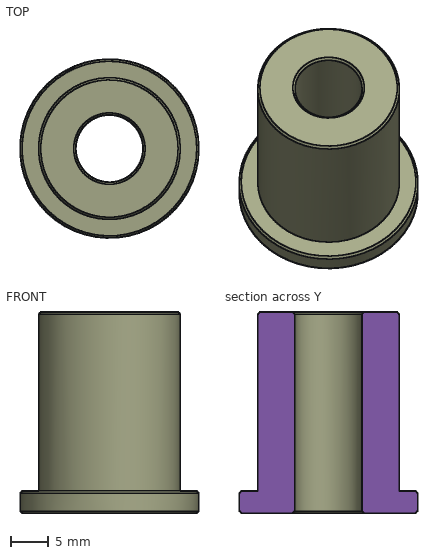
import cadquery as cq

total_height = 27.0
flange_diameter = 24.0
flange_height = 3.0
body_diameter = 19.0
bore_diameter = 9.0
edge_break = 0.3

body_height = total_height - flange_height


def chamfered_disc(diameter, height, rims):
    """Disc standing on Z = 0 with the selected rims chamfered."""
    disc = cq.Workplane("XY").circle(diameter / 2).extrude(height)
    return disc.faces(rims).edges().chamfer(edge_break)


flange = chamfered_disc(flange_diameter, flange_height, "<Z or >Z")
body = chamfered_disc(body_diameter, body_height, ">Z").translate((0, 0, flange_height))

bushing = flange.union(body).faces(">Z").workplane().hole(bore_diameter)
bore_mouths = bushing.faces("<Z or >Z").edges(cq.selectors.RadiusNthSelector(0))

result = bore_mouths.chamfer(edge_break)